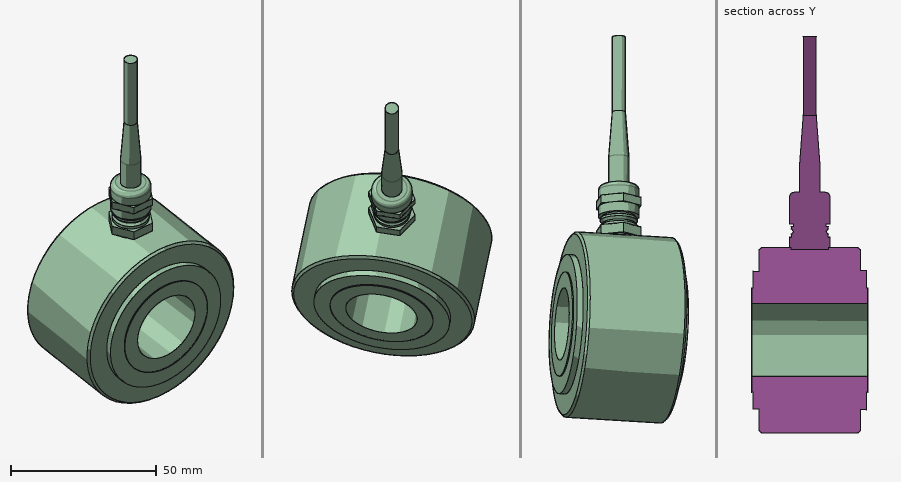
import cadquery as cq

ring_diameter = 64.0
ring_width = 34.9
ring_chamfer = 0.8
left_flange_diameter = 47.5
right_flange_diameter = 48.0
flange_span = 39.2
land_diameter = 36.0
overall_width = 40.0
bore_diameter = 25.0
axis_height = ring_diameter / 2

hex_across_flats = 14.0
nut_height = 3.4
thread_diameter = 12.8
root_diameter = 11.3
cap_diameter = hex_across_flats
cap_rounding = 1.8
seat_depth = 0.7

seat_height = ring_diameter - seat_depth
nut_bottom = ring_diameter
nut_top = nut_bottom + nut_height
groove_bottom = 68.5
groove_middle = 69.3
groove_top = 70.3
thread_top = 71.1
cap_bottom = 71.9
cap_hex_bottom = 75.2
cap_hex_top = 78.0
cap_top = 83.0

boot_diameter = 7.1
cable_diameter = 4.6
boot_shoulder = 93.0
boot_top = 109.4
cable_top = 136.4


def upright_cylinder(diameter, bottom, top):
    return cq.Workplane("XY", origin=(0, 0, bottom)).circle(diameter / 2).extrude(top - bottom)


def upright_hexagon(bottom, top):
    """Hexagonal prism with its corners toward +Y and -Y."""
    hexagon = cq.Workplane("XY", origin=(0, 0, bottom)).polygon(6, hex_across_flats, circumscribed=True)
    return hexagon.extrude(top - bottom)


def cylinder_along_x(diameter, left, right):
    disc = cq.Workplane("YZ", origin=(left, 0, axis_height)).circle(diameter / 2)
    return disc.extrude(right - left)


def make_housing():
    ring = cylinder_along_x(ring_diameter, -ring_width / 2, ring_width / 2)
    ring = ring.faces("<X or >X").chamfer(ring_chamfer)
    left_flange = cylinder_along_x(left_flange_diameter, -flange_span / 2, 0)
    right_flange = cylinder_along_x(right_flange_diameter, 0, flange_span / 2)
    lands = cylinder_along_x(land_diameter, -overall_width / 2, overall_width / 2)
    bore = cylinder_along_x(bore_diameter, -overall_width / 2, overall_width / 2)
    gland_seat = upright_cylinder(thread_diameter, seat_height, ring_diameter)
    return ring.union(left_flange).union(right_flange).union(lands).cut(bore).cut(gland_seat)


def make_gland():
    thread_radius = thread_diameter / 2
    root_radius = root_diameter / 2
    stem = (
        cq.Workplane("XZ")
        .moveTo(0, seat_height)
        .lineTo(thread_radius, seat_height)
        .lineTo(thread_radius, groove_bottom)
        .lineTo(root_radius, groove_middle)
        .lineTo(thread_radius, groove_top)
        .lineTo(thread_radius, thread_top)
        .lineTo(root_radius, thread_top)
        .lineTo(root_radius, cap_bottom)
        .lineTo(0, cap_bottom)
        .close()
        .revolve(360, (0, 0, 0), (0, 1, 0))
    )
    nut = upright_hexagon(nut_bottom, nut_top)
    cap = upright_cylinder(cap_diameter, cap_bottom, cap_top).faces(">Z").edges().fillet(cap_rounding)
    cap_hex = upright_hexagon(cap_hex_bottom, cap_hex_top)
    boot_base = upright_cylinder(boot_diameter, cap_top, boot_shoulder)
    boot_taper = (
        cq.Workplane("XY", origin=(0, 0, boot_shoulder))
        .circle(boot_diameter / 2)
        .workplane(offset=boot_top - boot_shoulder)
        .circle(cable_diameter / 2)
        .loft()
    )
    return stem.union(nut).union(cap).union(cap_hex).union(boot_base).union(boot_taper)


def make_cable():
    """Cable that leaves the end of the boot flush with it."""
    return upright_cylinder(cable_diameter, boot_top, cable_top)


housing = make_housing()
gland = make_gland()
cable = make_cable()

result = cq.Compound.makeCompound([housing.val(), gland.val(), cable.val()])